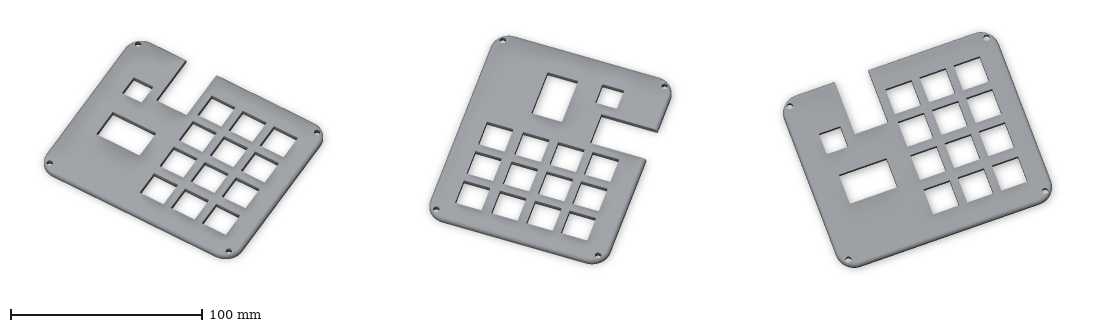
import cadquery as cq

length = 119.4
width = 99.2
thickness = 3.0
corner_radius = 10.0
top_edge_radius = 2.0

screw_diameter = 3.3
screw_inset = 5.0

key_size = 14.6
key_column_count = 3
key_column_pitch = 19.0
first_key_column_x = 2.6
key_row_positions = [29.0, 10.0, -9.3, -29.3]

notch_left_x = -28.1
notch_width = 18.6
notch_depth = 30.9

square_size = 12.0
square_center = (-39.6, 19.3)

display_length = 26.5
display_width = 16.8
display_center = (-30.2, -7.8)


def rectangular_cutter(size_x, size_y, centers):
    """Blocks through the full plate thickness, one at each centre."""
    return cq.Workplane("XY").pushPoints(centers).rect(size_x, size_y).extrude(thickness)


plate = (
    cq.Workplane("XY")
    .rect(length, width)
    .extrude(thickness)
    .edges("|Z")
    .fillet(corner_radius)
    .faces(">Z")
    .edges()
    .fillet(top_edge_radius)
)

screw_holes = (
    cq.Workplane("XY")
    .rect(length - 2 * screw_inset, width - 2 * screw_inset, forConstruction=True)
    .vertices()
    .circle(screw_diameter / 2)
    .extrude(thickness)
)

key_centers = [
    (first_key_column_x + column * key_column_pitch, row_y)
    for column in range(key_column_count)
    for row_y in key_row_positions
]
keys = rectangular_cutter(key_size, key_size, key_centers)

notch_center = (notch_left_x + notch_width / 2, width / 2 - notch_depth / 2)
notch = rectangular_cutter(notch_width, notch_depth, [notch_center])
square_window = rectangular_cutter(square_size, square_size, [square_center])
display_window = rectangular_cutter(display_length, display_width, [display_center])

result = plate.cut(screw_holes).cut(keys).cut(notch).cut(square_window).cut(display_window)